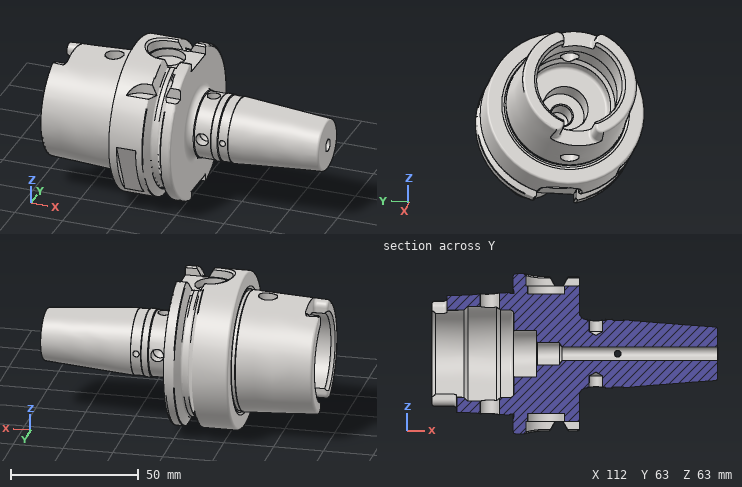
import cadquery as cq
import math


TAPER_LENGTH = 31.8
TAPER_END_RADIUS = 22.6
TAPER_ROOT_RADIUS = 24.1
TIP_ROUND = 1.1
RELIEF_WIDTH = 1.3
RELIEF_DEPTH = 0.3
FACE_GROOVE_FLOOR_RADIUS = 24.4
FACE_GROOVE_RADIUS = 25.4
FACE_GROOVE_DEPTH = 0.3

FLANGE_RADIUS = 31.5
FLANGE_END = 57.9
FLANGE_ROUND = 1.0
V_GROOVE_CENTER = 49.8
V_GROOVE_FLOOR_RADIUS = 27.5
V_GROOVE_FLOOR_HALF = 1.5
V_GROOVE_FLANK_ANGLE = 30
V_GROOVE_FILLET = 0.9
V_GROOVE_EDGE_ROUND = 0.3

TOTAL_LENGTH = 112
NECK_RADIUS = 13.2
COLLAR_RADIUS = 13.5
COLLAR_STEP = COLLAR_RADIUS - NECK_RADIUS
NECK_FILLET = 2.7
NECK_START = 60.7
COLLAR_START = 68.1
COLLAR_END = 70.7
NOSE_TAPER_START = 75
NOSE_TAPER_RADIUS = 13.4
NOSE_TIP_RADIUS = 10.5
NOSE_TIP_ROUND = 1.0

BORE_RADIUS = 17.0
BORE_MOUTH_RADIUS = 18.1
BORE_MOUTH_MID_RADIUS = 17.7
BORE_MOUTH_MID_DEPTH = 0.8
BORE_MOUTH_DEPTH = 1.5
CLAMP_GROOVE_START = 12.7
CLAMP_GROOVE_RADIUS = 18.5
CLAMP_GROOVE_STEP = CLAMP_GROOVE_RADIUS - BORE_RADIUS
CLAMP_GROOVE_END = 26.9
BORE_DEPTH = 32.0
BORE_FLOOR_FILLET = 1.3
TUBE_SEAT_RADIUS = 9
TUBE_SEAT_DEPTH = 9
FEED_RADIUS = 4.3
FEED_DEPTH = 9
FEED_CONE_LENGTH = 1.1
FEED_CHAMFER = 0.5
THROUGH_RADIUS = 2.5

END_SLOT_HALF_WIDTH = 6.3
END_SLOT_SHOULDER = 20.6
END_SLOT_CORNER_RADIUS = 2.6
END_SLOT_FLOOR_FILLET = 1.3
TOP_SLOT_DEPTH = 5.9
BOTTOM_SLOT_DEPTH = 9.7

POCKET_CENTER = 44.8
POCKET_HALF_WIDTH = 7.8
POCKET_FLOOR = 26.5
POCKET_CHAMFER = 0.9
POCKET_RECESS_RADIUS = 7.2
POCKET_RECESS_DEPTH = 3.1

NOTCH_LEVEL = 20.0
NOTCH_CENTER = 43.8
NOTCH_END_RADIUS = 7.8

FLAT_START = 35.4
FLAT_END = 43.3
FLAT_DISTANCE = 29.0
FLAT_TILT = 22.2

ACCESS_HOLE_X = 22.7
ACCESS_HOLE_RADIUS = 3.7
BALANCE_HOLE_X = 64.3
BALANCE_HOLE_RADIUS = 2.6
BALANCE_HOLE_DEPTH = 4.5
BALANCE_CONE_LENGTH = 1.5
PIN_HOLE_X = 72.8
PIN_HOLE_RADIUS = 1.2


def rounded_outline(corners):
    """Close an XY outline through (x, y, round) corners, with tangent arcs at the rounds."""
    points = [cq.Vector(x, y) for x, y, _ in corners]
    count = len(corners)
    wire = None
    for i, (_, _, radius) in enumerate(corners):
        corner = points[i]
        back = (points[i - 1] - corner).normalized()
        ahead = (points[(i + 1) % count] - corner).normalized()
        half_angle = back.getAngle(ahead) / 2
        setback = radius / math.tan(half_angle)
        start = corner + back * setback
        end = corner + ahead * setback
        wire = wire.lineTo(start.x, start.y) if wire else cq.Workplane("XY").moveTo(start.x, start.y)
        if radius:
            reach = radius / math.sin(half_angle) - radius
            middle = corner + (back + ahead).normalized() * reach
            wire = wire.threePointArc((middle.x, middle.y), (end.x, end.y))
    return wire.close()


def turned(corners):
    """Revolve an outline of (x, radius, round) corners about the X axis."""
    return rounded_outline(corners).revolve(360, (0, 0, 0), (1, 0, 0))


def on_both_sides(cutter):
    return cutter.union(cutter.rotate((0, 0, 0), (1, 0, 0), 180))


def outer_body():
    relief_start = TAPER_LENGTH - RELIEF_WIDTH
    relief_radius = TAPER_ROOT_RADIUS - RELIEF_DEPTH
    face_groove_floor = TAPER_LENGTH + FACE_GROOVE_DEPTH
    flank_height = FLANGE_RADIUS - V_GROOVE_FLOOR_RADIUS
    v_groove_half = V_GROOVE_FLOOR_HALF + flank_height * math.tan(math.radians(V_GROOVE_FLANK_ANGLE))
    shank = [
        (0, 0, 0),
        (0, TAPER_END_RADIUS, 0),
        (relief_start, TAPER_ROOT_RADIUS, 0),
        (relief_start + RELIEF_DEPTH, relief_radius, 0),
        (face_groove_floor, relief_radius, 0),
        (face_groove_floor, FACE_GROOVE_FLOOR_RADIUS, 0),
    ]
    flange = [
        (TAPER_LENGTH, FACE_GROOVE_RADIUS, 0),
        (TAPER_LENGTH, FLANGE_RADIUS, FLANGE_ROUND),
        (V_GROOVE_CENTER - v_groove_half, FLANGE_RADIUS, V_GROOVE_EDGE_ROUND),
        (V_GROOVE_CENTER - V_GROOVE_FLOOR_HALF, V_GROOVE_FLOOR_RADIUS, V_GROOVE_FILLET),
        (V_GROOVE_CENTER + V_GROOVE_FLOOR_HALF, V_GROOVE_FLOOR_RADIUS, V_GROOVE_FILLET),
        (V_GROOVE_CENTER + v_groove_half, FLANGE_RADIUS, V_GROOVE_EDGE_ROUND),
        (FLANGE_END, FLANGE_RADIUS, FLANGE_ROUND),
    ]
    nose = [
        (FLANGE_END, COLLAR_RADIUS, NECK_FILLET),
        (NECK_START, COLLAR_RADIUS, 0),
        (NECK_START + COLLAR_STEP, NECK_RADIUS, 0),
        (COLLAR_START - COLLAR_STEP, NECK_RADIUS, 0),
        (COLLAR_START, COLLAR_RADIUS, 0),
        (COLLAR_END, COLLAR_RADIUS, 0),
        (COLLAR_END + COLLAR_STEP, NECK_RADIUS, 0),
        (NOSE_TAPER_START, NECK_RADIUS, 0),
        (NOSE_TAPER_START, NOSE_TAPER_RADIUS, 0),
        (TOTAL_LENGTH, NOSE_TIP_RADIUS, NOSE_TIP_ROUND),
        (TOTAL_LENGTH, 0, 0),
    ]
    return turned(shank + flange + nose)


def bore():
    seat_floor = BORE_DEPTH + TUBE_SEAT_DEPTH
    feed_floor = seat_floor + FEED_DEPTH
    return turned([
        (0, 0, 0),
        (0, BORE_MOUTH_RADIUS, 0),
        (BORE_MOUTH_MID_DEPTH, BORE_MOUTH_MID_RADIUS, 0),
        (BORE_MOUTH_DEPTH, BORE_RADIUS, 0),
        (CLAMP_GROOVE_START, BORE_RADIUS, 0),
        (CLAMP_GROOVE_START + CLAMP_GROOVE_STEP, CLAMP_GROOVE_RADIUS, 0),
        (CLAMP_GROOVE_END - CLAMP_GROOVE_STEP, CLAMP_GROOVE_RADIUS, 0),
        (CLAMP_GROOVE_END, BORE_RADIUS, 0),
        (BORE_DEPTH, BORE_RADIUS, BORE_FLOOR_FILLET),
        (BORE_DEPTH, TUBE_SEAT_RADIUS, 0),
        (seat_floor, TUBE_SEAT_RADIUS, 0),
        (seat_floor, FEED_RADIUS + FEED_CHAMFER, 0),
        (seat_floor + FEED_CHAMFER, FEED_RADIUS, 0),
        (feed_floor, FEED_RADIUS, 0),
        (feed_floor + FEED_CONE_LENGTH, THROUGH_RADIUS, 0),
        (TOTAL_LENGTH, THROUGH_RADIUS, 0),
        (TOTAL_LENGTH, 0, 0),
    ])


def end_slot(depth):
    """Slot on +Z: straight walls that round over into a flat shoulder, filleted at the floor."""
    arc_start = END_SLOT_SHOULDER - END_SLOT_CORNER_RADIUS
    shoulder_start = END_SLOT_HALF_WIDTH + END_SLOT_CORNER_RADIUS
    on_arc = END_SLOT_CORNER_RADIUS * math.sqrt(0.5)
    arc_middle = (shoulder_start - on_arc, arc_start + on_arc)
    outside = FLANGE_RADIUS
    inside = BORE_RADIUS / 2
    return (
        cq.Workplane("YZ")
        .moveTo(-END_SLOT_HALF_WIDTH, inside)
        .lineTo(END_SLOT_HALF_WIDTH, inside)
        .lineTo(END_SLOT_HALF_WIDTH, arc_start)
        .threePointArc(arc_middle, (shoulder_start, END_SLOT_SHOULDER))
        .lineTo(outside, END_SLOT_SHOULDER)
        .lineTo(outside, outside)
        .lineTo(-outside, outside)
        .lineTo(-outside, END_SLOT_SHOULDER)
        .lineTo(-shoulder_start, END_SLOT_SHOULDER)
        .threePointArc((-arc_middle[0], arc_middle[1]), (-END_SLOT_HALF_WIDTH, arc_start))
        .close()
        .extrude(depth)
        .faces(">X").edges().fillet(END_SLOT_FLOOR_FILLET)
    )


def milled_channel(start, center_y, level, end_radius):
    """Channel with a round end, cut from above down to a level and open toward the nose."""
    length = FLANGE_END - start
    height = FLANGE_RADIUS
    floor = cq.Workplane("XY").workplane(offset=level)
    channel = floor.center(start + length / 2, center_y).rect(length, 2 * end_radius).extrude(height)
    round_end = floor.center(start, center_y).circle(end_radius).extrude(height)
    return channel.union(round_end)


def bevelled_pocket():
    """Space of the drive pocket plus the bevel along its edge on the outer cylinder."""
    barrel = (
        cq.Workplane("YZ", origin=(TAPER_LENGTH, 0, 0))
        .circle(FLANGE_RADIUS)
        .extrude(FLANGE_END - TAPER_LENGTH)
    )
    margin = 1.1
    around_rim = cq.selectors.BoxSelector(
        (TAPER_LENGTH + margin, -POCKET_HALF_WIDTH - margin, POCKET_FLOOR + margin),
        (FLANGE_END - margin, POCKET_HALF_WIDTH + margin, FLANGE_RADIUS + margin),
    )
    channel = milled_channel(POCKET_CENTER, 0, POCKET_FLOOR, POCKET_HALF_WIDTH)
    rims = barrel.cut(channel).edges(around_rim).edges("not |Z")
    return barrel.cut(rims.chamfer(POCKET_CHAMFER))


def pocket_recess():
    return (
        cq.Workplane("XY")
        .workplane(offset=POCKET_FLOOR - POCKET_RECESS_DEPTH)
        .center(POCKET_CENTER, 0)
        .circle(POCKET_RECESS_RADIUS)
        .extrude(FLANGE_RADIUS)
    )


def orientation_notch():
    center_y = -NOTCH_LEVEL - NOTCH_END_RADIUS
    return milled_channel(NOTCH_CENTER, center_y, NOTCH_LEVEL, NOTCH_END_RADIUS)


def side_flat():
    """Block outside a plane that is tilted about X from the -Y side toward -Z."""
    size = FLAT_END - FLAT_START
    return (
        cq.Workplane("XY")
        .box(size, FLANGE_RADIUS, 2 * FLANGE_RADIUS)
        .translate((FLAT_START + size / 2, -FLAT_DISTANCE - FLANGE_RADIUS / 2, 0))
        .rotate((0, 0, 0), (1, 0, 0), FLAT_TILT)
    )


def cross_hole(plane, x, radius):
    return cq.Workplane(plane).center(x, 0).circle(radius).extrude(FLANGE_RADIUS, both=True)


def balance_hole(turn):
    """Blind hole with a conical bottom, turned about X from the +Z side."""
    wall_end = NECK_RADIUS - BALANCE_HOLE_DEPTH
    return (
        cq.Workplane("XZ")
        .moveTo(BALANCE_HOLE_X, wall_end - BALANCE_CONE_LENGTH)
        .lineTo(BALANCE_HOLE_X + BALANCE_HOLE_RADIUS, wall_end)
        .lineTo(BALANCE_HOLE_X + BALANCE_HOLE_RADIUS, COLLAR_RADIUS)
        .lineTo(BALANCE_HOLE_X, COLLAR_RADIUS)
        .close()
        .revolve(360, (BALANCE_HOLE_X, 0, 0), (BALANCE_HOLE_X, 1, 0))
        .rotate((0, 0, 0), (1, 0, 0), turn)
    )


body = outer_body().cut(on_both_sides(bevelled_pocket()))
body = body.cut(end_slot(TOP_SLOT_DEPTH))
body = body.cut(end_slot(BOTTOM_SLOT_DEPTH).rotate((0, 0, 0), (1, 0, 0), 180))
body = body.faces("<X").edges().fillet(TIP_ROUND)
body = body.cut(bore())
body = body.cut(on_both_sides(pocket_recess()))
body = body.cut(orientation_notch()).cut(side_flat())
body = body.cut(cross_hole("XY", ACCESS_HOLE_X, ACCESS_HOLE_RADIUS))
body = body.cut(cross_hole("XZ", PIN_HOLE_X, PIN_HOLE_RADIUS))
for quarter in range(4):
    body = body.cut(balance_hole(90 * quarter))
result = body